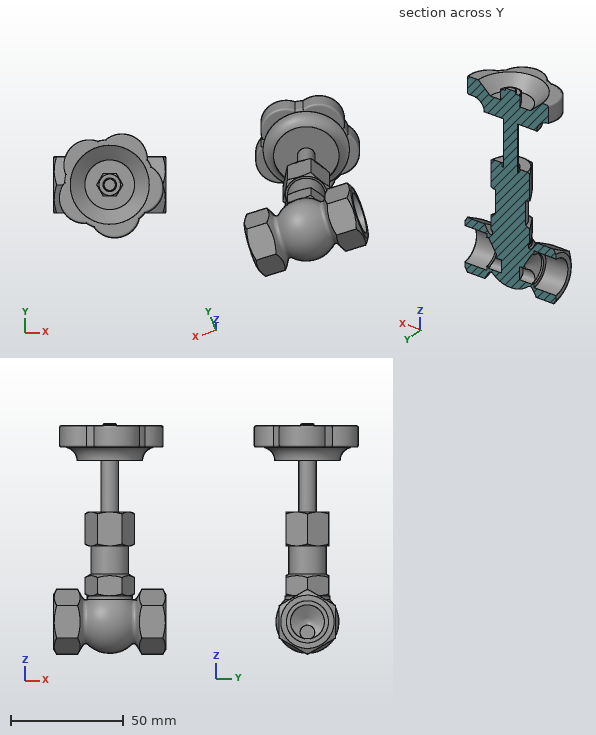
import cadquery as cq
import math


LENGTH = 50.0
STEM_TOP_Z = 87.772

BALL_RADIUS = 14.0
NECK_DIAMETER = 20.0
END_HEX_WIDTH = 25.0
END_FACE_DIAMETER = 23.6
THROAT_START_X = 11.94
THROAT_START_RADIUS = 10.5
THROAT_END_X = 9.65
CHAMFER_SLOPE = math.tan(math.radians(30))

THREAD_DIAMETER = 18.63
THREAD_DEPTH = 12.0
BORE_DIAMETER = 15.0
BORE_DEPTH = 13.0
BORE_TIP_ANGLE = 118.0
PASSAGE_DIAMETER = 6.5
PASSAGE_DROP = 4.75
PASSAGE_END_X = 5.0

BONNET_HEX_WIDTH = 19.0
BONNET_HEX_BOTTOM_Z = 11.4
BONNET_HEX_TOP_Z = 21.1
BONNET_DIAMETER = 16.66
CAP_BOTTOM_Z = 33.5
CAP_TOP_Z = 48.7
HEX_FACE_DIAMETER = 18.63
CAP_HOLE_DIAMETER = 9.0
CAP_HOLE_DEPTH = 2.0

STEM_DIAMETER = 7.9
STEM_END_DIAMETER = 6.0
STEM_END_CHAMFER = 0.5

WHEEL_TOP_Z = 86.8
RIM_HEIGHT = 9.5
HUB_BOTTOM_Z = 71.3
HUB_DIAMETER = 29.0
HUB_FLARE_RADIUS = 6.0
LOBE_COUNT = 5
LOBE_RADIUS = 11.27
LOBE_CENTRE_RADIUS = 12.5
FIRST_LOBE_ANGLE = -7.8
RIM_DISK_RADIUS = 20.0
RIM_FILLET = 0.9
BOWL_TOP_DIAMETER = 35.0
BOWL_FLOOR_DIAMETER = 22.0
BOWL_DEPTH = 6.0

NUT_WIDTH = 10.0
NUT_FACE_DIAMETER = 9.5
NUT_HEIGHT = 5.7


def hex_bar(width, bottom, top, bottom_face_diameter, top_face_diameter):
    """Upright hexagon with corners on X, chamfered at each end down to a flat circle."""
    corner_radius = width / math.sqrt(3)
    bottom_radius = bottom_face_diameter / 2
    top_radius = top_face_diameter / 2
    bottom_rise = (corner_radius - bottom_radius) * CHAMFER_SLOPE
    top_drop = (corner_radius - top_radius) * CHAMFER_SLOPE
    prism = (
        cq.Workplane("XY")
        .workplane(offset=bottom)
        .polygon(6, 2 * corner_radius)
        .extrude(top - bottom)
    )
    envelope = (
        cq.Workplane("XZ")
        .moveTo(0, bottom)
        .lineTo(bottom_radius, bottom)
        .lineTo(corner_radius, bottom + bottom_rise)
        .lineTo(corner_radius, top - top_drop)
        .lineTo(top_radius, top)
        .lineTo(0, top)
        .close()
        .revolve(360, (0, 0, 0), (0, 1, 0))
    )
    return prism.intersect(envelope)


def cylinder(diameter, bottom, top):
    return cq.Workplane("XY").workplane(offset=bottom).circle(diameter / 2).extrude(top - bottom)


def end_hexagon():
    """Hexagonal pipe end on the +X side, with its corners up and down, and the throat to the ball."""
    corner_radius = END_HEX_WIDTH / math.sqrt(3)
    face_radius = END_FACE_DIAMETER / 2
    face_x = LENGTH / 2
    outer_x = face_x - (corner_radius - face_radius) * CHAMFER_SLOPE
    inner_x = THROAT_START_X + (corner_radius - THROAT_START_RADIUS) * CHAMFER_SLOPE
    throat_end_radius = math.sqrt(BALL_RADIUS**2 - THROAT_END_X**2)
    prism = (
        cq.Workplane("YZ")
        .polygon(6, 2 * corner_radius)
        .extrude(face_x)
        .rotate((0, 0, 0), (1, 0, 0), 90)
    )
    envelope = (
        cq.Workplane("XY")
        .lineTo(face_x, 0)
        .lineTo(face_x, face_radius)
        .lineTo(outer_x, corner_radius)
        .lineTo(inner_x, corner_radius)
        .lineTo(THROAT_START_X, THROAT_START_RADIUS)
        .tangentArcPoint((THROAT_END_X, throat_end_radius), relative=False)
        .lineTo(0, throat_end_radius)
        .close()
        .revolve(360, (0, 0, 0), (1, 0, 0))
    )
    return prism.intersect(envelope)


def port():
    """Thread bore, cone-ended bore and offset passage cut into the +X end."""
    face_x = LENGTH / 2
    thread_end_x = face_x - THREAD_DEPTH
    bore_end_x = face_x - BORE_DEPTH
    bore_radius = BORE_DIAMETER / 2
    tip_length = bore_radius / math.tan(math.radians(BORE_TIP_ANGLE / 2))
    bores = (
        cq.Workplane("XY")
        .moveTo(face_x, 0)
        .lineTo(face_x, THREAD_DIAMETER / 2)
        .lineTo(thread_end_x, THREAD_DIAMETER / 2)
        .lineTo(thread_end_x, bore_radius)
        .lineTo(bore_end_x, bore_radius)
        .lineTo(bore_end_x - tip_length, 0)
        .close()
        .revolve(360, (0, 0, 0), (1, 0, 0))
    )
    passage = (
        cq.Workplane("YZ")
        .workplane(offset=PASSAGE_END_X)
        .center(0, -PASSAGE_DROP)
        .circle(PASSAGE_DIAMETER / 2)
        .extrude(bore_end_x - PASSAGE_END_X)
    )
    return bores.union(passage)


def body():
    shape = cq.Workplane("XY").sphere(BALL_RADIUS)
    shape = shape.union(cylinder(NECK_DIAMETER, 0, BONNET_HEX_BOTTOM_Z))
    end = end_hexagon()
    opening = port()
    shape = shape.union(end).union(end.mirror("YZ"))
    return shape.cut(opening).cut(opening.mirror("YZ"))


def bonnet():
    lower_hex = hex_bar(
        BONNET_HEX_WIDTH, BONNET_HEX_BOTTOM_Z, BONNET_HEX_TOP_Z, HEX_FACE_DIAMETER, BONNET_DIAMETER
    )
    tube = cylinder(BONNET_DIAMETER, BONNET_HEX_TOP_Z, CAP_BOTTOM_Z)
    cap = hex_bar(BONNET_HEX_WIDTH, CAP_BOTTOM_Z, CAP_TOP_Z, HEX_FACE_DIAMETER, HEX_FACE_DIAMETER)
    hole = cylinder(CAP_HOLE_DIAMETER, CAP_TOP_Z - CAP_HOLE_DEPTH, CAP_TOP_Z)
    return lower_hex.union(tube).union(cap.cut(hole))


def stem():
    shaft = cylinder(STEM_DIAMETER, CAP_TOP_Z - CAP_HOLE_DEPTH, HUB_BOTTOM_Z)
    end = cylinder(STEM_END_DIAMETER, HUB_BOTTOM_Z, STEM_TOP_Z).faces(">Z").chamfer(STEM_END_CHAMFER)
    return shaft.union(end)


def rounded_disk(radius, bottom, top):
    return cylinder(2 * radius, bottom, top).edges().fillet(RIM_FILLET)


def handwheel():
    rim_bottom_z = WHEEL_TOP_Z - RIM_HEIGHT
    rim = rounded_disk(RIM_DISK_RADIUS, rim_bottom_z, WHEEL_TOP_Z)
    lobe = rounded_disk(LOBE_RADIUS, rim_bottom_z, WHEEL_TOP_Z).translate((LOBE_CENTRE_RADIUS, 0, 0))
    for index in range(LOBE_COUNT):
        angle = FIRST_LOBE_ANGLE + index * 360 / LOBE_COUNT
        rim = rim.union(lobe.rotate((0, 0, 0), (0, 0, 1), angle))

    hub_radius = HUB_DIAMETER / 2
    centre_radius = hub_radius + HUB_FLARE_RADIUS
    trim_radius = RIM_DISK_RADIUS - RIM_FILLET
    trim_z = HUB_BOTTOM_Z + math.sqrt(HUB_FLARE_RADIUS**2 - (centre_radius - trim_radius) ** 2)
    mid_step = HUB_FLARE_RADIUS * math.sqrt(0.5)
    hub = (
        cq.Workplane("XZ")
        .moveTo(0, HUB_BOTTOM_Z)
        .lineTo(hub_radius, HUB_BOTTOM_Z)
        .threePointArc((centre_radius - mid_step, HUB_BOTTOM_Z + mid_step), (trim_radius, trim_z))
        .lineTo(trim_radius, rim_bottom_z)
        .lineTo(0, rim_bottom_z)
        .close()
        .revolve(360, (0, 0, 0), (0, 1, 0))
    )
    bowl = (
        cq.Workplane("XY")
        .workplane(offset=WHEEL_TOP_Z)
        .circle(BOWL_TOP_DIAMETER / 2)
        .workplane(offset=-BOWL_DEPTH)
        .circle(BOWL_FLOOR_DIAMETER / 2)
        .loft(ruled=True)
    )
    return rim.union(hub).cut(bowl)


def wheel_nut():
    floor_z = WHEEL_TOP_Z - BOWL_DEPTH
    return hex_bar(NUT_WIDTH, floor_z, floor_z + NUT_HEIGHT, NUT_FACE_DIAMETER, NUT_FACE_DIAMETER)


result = body().union(bonnet()).union(handwheel()).union(stem()).union(wheel_nut())